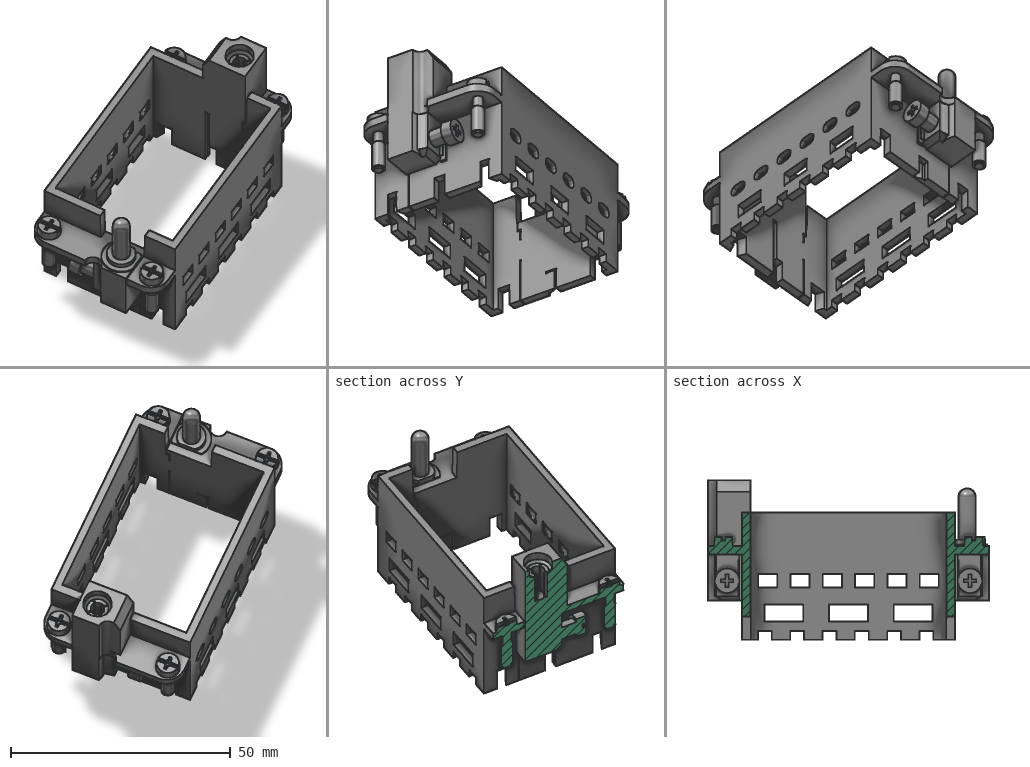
import cadquery as cq

FRAME_X = 34.4
FRAME_Y = 48.6
WALL_TOP = 29.0
SIDE_WALL = 1.8
END_WALL = 2.0
END_OUTER = FRAME_Y / 2
END_INNER = END_OUTER - END_WALL

OVERALL_Y = 64.0
EDGE_Y = OVERALL_Y / 2
FLANGE_TOP = 21.4
FLANGE_THICK = 2.0
FLANGE_BOTTOM = FLANGE_TOP - FLANGE_THICK
CORNER_RADIUS = 4.5
EDGE_NOTCH_RADIUS = 2.0

PITCH = 7.36
OVAL_COUNT = 6
OVAL_LENGTH = 4.3
OVAL_HEIGHT = 3.0
OVAL_Z = 13.45
OVAL_RECESS_DEPTH = 0.4
WINDOW_COUNT = 3
WINDOW_LENGTH = 7.2
FAR_WINDOW_LENGTH = 8.8
WINDOW_Z_LOW = 4.2
WINDOW_Z_HIGH = 8.0
FOOT_NOTCH_WIDTH = 3.1
FOOT_NOTCH_HEIGHT = 2.0
FOOT_NOTCH_SHIFT = 0.65

END_NOTCH_HEIGHT = 5.3
CORNER_NOTCH_X = 12.55
FRONT_NOTCH_WIDTH = 3.1
REAR_NOTCH_OUTER = 2.3
REAR_NOTCH_INNER = 4.1
MIDDLE_NOTCH_LEFT = -1.7
MIDDLE_NOTCH_RIGHT = 1.15
POCKET_LEFT = -1.8
POCKET_RIGHT = -0.7
POCKET_TOP = 17.0
POCKET_DEPTH = 1.0
TONGUE_LEFT = -1.2
TONGUE_KNEE = 0.35
TONGUE_HEIGHT = 4.95
TONGUE_TIP_THICK = 0.3
TONGUE_THICK = 1.0

BLOCK_LEFT = -2.35
BLOCK_RIGHT = 8.7
BLOCK_BOTTOM = 8.9
MAIN_LEFT = 2.1
SHOULDER_X = 1.65
TERMINAL_X = -0.9
STRIP_RIGHT = -0.17
STRIP_Y = 30.1
SHOULDER_Y = 30.5
LIP_TOP = 9.9
LIP_INSET = 1.6
BACK_PLATE_Y = 24.9
PAD_LEFT = -1.75
PAD_Y = 25.1
PAD_Z_LOW = 10.25
PAD_Z_HIGH = 18.1

OPENING_LEFT = -2.3
OPENING_RIGHT = 9.05
OPENING_DRAFT = 0.2
FLANGE_SLIT_WIDTH = 0.2
FLANGE_SLIT_BOTTOM = 19.05
WALL_SLIT_X = 7.9
WALL_SLIT_WIDTH = 0.25
WALL_SLIT_TOP = 11.0
JOG_BOTTOM = 16.6
JOG_THICK = 0.3

GUIDE_X = 4.6
GUIDE_Y = 27.0
PIN_RADIUS = 2.0
PIN_TOP = 34.5
COLLAR_RADIUS = 3.3
COLLAR_TOP = 22.8
RING_RADIUS = 4.55
RING_TOP = 21.75
POST_TOP = 36.4
POST_LEFT_Y = 30.0
POST_CHAMFER_X = 1.6
POST_CHAMFER_Z = 2.65
SOCKET_RADIUS = 3.25
SOCKET_DEPTH = 2.0
SLEEVE_RADIUS = 2.5
SLEEVE_CHAMFER = 0.5
BORE_RADIUS = 1.55
BORE_DEPTH = 8.0
SLEEVE_SLOT_WIDTH = 0.3
SLEEVE_SLOT_COUNT = 4

SCREW_X = 13.5
SCREW_Y = 28.5
HEAD_BOTTOM_RADIUS = 2.75
HEAD_TOP_RADIUS = 2.55
HEAD_HEIGHT = 2.05
NECK_RADIUS = 1.2
NECK_BOTTOM = 16.8
THREAD_RADIUS = 1.55
THREAD_TOP = 16.5
THREAD_BOTTOM = 10.0
TIP_RADIUS = 1.05
TIP_BOTTOM = 9.5
SLOT_WIDTH = 0.8
SLOT_DEPTH = 0.8
CROSS_WIDTH = 0.6
CROSS_LENGTH = 3.2
CROSS_CENTRE = 1.1
CROSS_CENTRE_DEPTH = 1.2

TERMINAL_Y = 27.65
TERMINAL_Z = 13.45
TERMINAL_HEAD_RADIUS = 2.8
TERMINAL_HEAD_LEFT = -7.3
TERMINAL_HEAD_RIGHT = -4.6
TERMINAL_SHANK_RADIUS = 2.0
TERMINAL_EMBED = 1.0
TERMINAL_CROSS_LENGTH = 2.9
TERMINAL_CROSS_WIDTH = 0.75
TERMINAL_CROSS_DEPTH = 1.0


def box(x0, x1, y0, y1, z0, z1):
    """Box given by its limits along each axis."""
    return cq.Workplane("XY").box(x1 - x0, y1 - y0, z1 - z0, centered=False).translate((x0, y0, z0))


def prism(points, z0, z1):
    """Upright prism on a closed XY outline."""
    return cq.Workplane("XY").workplane(offset=z0).polyline(points).close().extrude(z1 - z0)


def cylinder(x, y, radius, z0, z1):
    """Upright cylinder."""
    return cq.Workplane("XY").workplane(offset=z0).center(x, y).circle(radius).extrude(z1 - z0)


def at_front(shape):
    """Carry a shape modelled at the +Y end over to the -Y end."""
    return shape.mirror("XZ")


def both_ends(shape):
    """A +Y end shape together with its mirror image at the -Y end."""
    return shape.union(at_front(shape))


def centred(count, pitch):
    """Evenly spaced positions centred on zero."""
    return [(i - (count - 1) / 2) * pitch for i in range(count)]


def make_frame():
    """Open rectangular frame of four upright walls."""
    outer = cq.Workplane("XY").rect(FRAME_X, FRAME_Y).extrude(WALL_TOP)
    inside = cq.Workplane("XY").rect(FRAME_X - 2 * SIDE_WALL, 2 * END_INNER).extrude(WALL_TOP)
    return outer.cut(inside)


def side_wall_openings():
    """Openings of both side walls.

    The -X wall has oval holes with shallow rectangular inner recesses, and windows.
    The +X wall has rectangular holes and longer windows. Foot notches cross both.
    """
    half_x = FRAME_X / 2
    hole_points = [(y, OVAL_Z) for y in centred(OVAL_COUNT, PITCH)]
    window_z = (WINDOW_Z_LOW + WINDOW_Z_HIGH) / 2
    window_points = [(y, window_z) for y in centred(WINDOW_COUNT, 2 * PITCH)]
    window_height = WINDOW_Z_HIGH - WINDOW_Z_LOW
    near_wall = cq.Workplane("YZ").workplane(offset=-half_x)
    far_wall = cq.Workplane("YZ").workplane(offset=half_x - SIDE_WALL)

    cuts = near_wall.pushPoints(hole_points).slot2D(OVAL_LENGTH, OVAL_HEIGHT).extrude(SIDE_WALL)
    recess_plane = near_wall.workplane(offset=SIDE_WALL - OVAL_RECESS_DEPTH)
    recesses = recess_plane.pushPoints(hole_points).rect(OVAL_LENGTH, OVAL_HEIGHT)
    cuts = cuts.union(recesses.extrude(OVAL_RECESS_DEPTH))
    near_windows = near_wall.pushPoints(window_points).rect(WINDOW_LENGTH, window_height)
    cuts = cuts.union(near_windows.extrude(SIDE_WALL))
    far_holes = far_wall.pushPoints(hole_points).rect(OVAL_LENGTH, OVAL_HEIGHT)
    cuts = cuts.union(far_holes.extrude(SIDE_WALL))
    far_windows = far_wall.pushPoints(window_points).rect(FAR_WINDOW_LENGTH, window_height)
    cuts = cuts.union(far_windows.extrude(SIDE_WALL))
    for y, _ in hole_points:
        low = y + FOOT_NOTCH_SHIFT - FOOT_NOTCH_WIDTH / 2
        cuts = cuts.union(box(-half_x, half_x, low, low + FOOT_NOTCH_WIDTH, 0, FOOT_NOTCH_HEIGHT))
    return cuts


def end_wall_notches(outer_width, inner_width):
    """Middle notch and two corner notches of the +Y end wall, widths given at its two faces."""
    cuts = box(MIDDLE_NOTCH_LEFT, MIDDLE_NOTCH_RIGHT, END_INNER, END_OUTER, 0, END_NOTCH_HEIGHT)
    for x in (-CORNER_NOTCH_X, CORNER_NOTCH_X):
        outline = [
            (x - inner_width / 2, END_INNER),
            (x + inner_width / 2, END_INNER),
            (x + outer_width / 2, END_OUTER),
            (x - outer_width / 2, END_OUTER),
        ]
        cuts = cuts.union(prism(outline, 0, END_NOTCH_HEIGHT))
    return cuts


def inner_pocket():
    """Shallow upright pocket in the inner face of the +Y end wall."""
    return box(POCKET_LEFT, POCKET_RIGHT, END_INNER, END_INNER + POCKET_DEPTH, 0, POCKET_TOP)


def notch_tongue():
    """Wedge-nosed tongue standing in the middle notch of the -Y end wall."""
    outline = [
        (TONGUE_LEFT, END_INNER),
        (TONGUE_LEFT, END_INNER + TONGUE_TIP_THICK),
        (TONGUE_KNEE, END_INNER + TONGUE_THICK),
        (MIDDLE_NOTCH_RIGHT, END_INNER + TONGUE_THICK),
        (MIDDLE_NOTCH_RIGHT, END_INNER),
    ]
    return at_front(prism(outline, 0, TONGUE_HEIGHT))


def end_wall_opening(left, left_draft):
    """Opening in the +Y end wall above the flange, its sides leaning outwards."""
    outline = [
        (left, FLANGE_TOP),
        (OPENING_RIGHT, FLANGE_TOP),
        (OPENING_RIGHT + OPENING_DRAFT, WALL_TOP),
        (left - left_draft, WALL_TOP),
    ]
    return cq.Workplane("XZ").workplane(offset=-END_OUTER).polyline(outline).close().extrude(END_WALL)


def make_flange():
    """Flange at the +Y end with rounded outer corners and a round edge notch."""
    half_x = FRAME_X / 2
    plate = box(-half_x, half_x, END_OUTER, EDGE_Y, FLANGE_BOTTOM, FLANGE_TOP)
    plate = plate.edges("|Z and >Y").fillet(CORNER_RADIUS)
    return plate.cut(cylinder(0, EDGE_Y, EDGE_NOTCH_RADIUS, FLANGE_BOTTOM, FLANGE_TOP))


def make_block():
    """Contact block below the +Y flange: main body, stepped shoulder, undercut lip and back plate."""
    outer_edge = [
        (SHOULDER_X, SHOULDER_Y),
        (MAIN_LEFT, EDGE_Y),
        (BLOCK_RIGHT, EDGE_Y),
        (BLOCK_RIGHT, END_OUTER),
    ]
    terminal_edge = [(TERMINAL_X, END_OUTER), (TERMINAL_X, STRIP_Y), (STRIP_RIGHT, STRIP_Y)]
    body = prism(terminal_edge + outer_edge, LIP_TOP, FLANGE_BOTTOM)
    main = prism([(SHOULDER_X, END_OUTER)] + outer_edge, BLOCK_BOTTOM, LIP_TOP)
    lip_x = SHOULDER_X - TERMINAL_X
    lip_y = STRIP_Y - END_OUTER
    lip = (
        cq.Workplane("XY").workplane(offset=LIP_TOP)
        .center(SHOULDER_X - lip_x / 2, END_OUTER + lip_y / 2).rect(lip_x, lip_y)
        .workplane(offset=BLOCK_BOTTOM - LIP_TOP)
        .center(LIP_INSET / 2, -LIP_INSET / 2).rect(lip_x - LIP_INSET, lip_y - LIP_INSET)
        .loft(ruled=True)
    )
    back_plate = box(BLOCK_LEFT, TERMINAL_X, END_OUTER, BACK_PLATE_Y, BLOCK_BOTTOM, FLANGE_BOTTOM)
    pad = box(PAD_LEFT, TERMINAL_X, BACK_PLATE_Y, PAD_Y, PAD_Z_LOW, PAD_Z_HIGH)
    return body.union(main).union(lip).union(back_plate).union(pad)


def terminal_screw():
    """Cross-recessed screw entering the +Y contact block along X."""

    def rod_along_x(radius, x0, x1):
        """Round rod on the screw axis between two X positions."""
        return (
            cq.Workplane("YZ").workplane(offset=x0)
            .center(TERMINAL_Y, TERMINAL_Z).circle(radius).extrude(x1 - x0)
        )

    head = rod_along_x(TERMINAL_HEAD_RADIUS, TERMINAL_HEAD_LEFT, TERMINAL_HEAD_RIGHT)
    shank = rod_along_x(TERMINAL_SHANK_RADIUS, TERMINAL_HEAD_RIGHT, TERMINAL_X + TERMINAL_EMBED)
    face = cq.Workplane("YZ").workplane(offset=TERMINAL_HEAD_LEFT).center(TERMINAL_Y, TERMINAL_Z)
    arm_along_y = face.rect(TERMINAL_CROSS_LENGTH, TERMINAL_CROSS_WIDTH).extrude(TERMINAL_CROSS_DEPTH)
    arm_along_z = face.rect(TERMINAL_CROSS_WIDTH, TERMINAL_CROSS_LENGTH).extrude(TERMINAL_CROSS_DEPTH)
    return head.union(shank).cut(arm_along_y).cut(arm_along_z)


def corner_screw():
    """Slotted and cross-recessed screw on the Z axis, at its mounted height."""
    head_top = FLANGE_TOP + HEAD_HEIGHT
    profile = [
        (0, TIP_BOTTOM),
        (TIP_RADIUS, TIP_BOTTOM),
        (TIP_RADIUS, THREAD_BOTTOM),
        (THREAD_RADIUS, THREAD_BOTTOM),
        (THREAD_RADIUS, THREAD_TOP),
        (NECK_RADIUS, NECK_BOTTOM),
        (NECK_RADIUS, FLANGE_TOP),
        (HEAD_BOTTOM_RADIUS, FLANGE_TOP),
        (HEAD_TOP_RADIUS, head_top),
        (0, head_top),
    ]
    screw = cq.Workplane("XZ").polyline(profile).close().revolve(360, (0, 0), (0, 1))
    top = cq.Workplane("XY").workplane(offset=head_top)
    slot = top.rect(2 * HEAD_BOTTOM_RADIUS, SLOT_WIDTH).extrude(-SLOT_DEPTH)
    cross = top.rect(CROSS_WIDTH, CROSS_LENGTH).extrude(-SLOT_DEPTH)
    centre = top.rect(CROSS_CENTRE, CROSS_CENTRE).extrude(-CROSS_CENTRE_DEPTH)
    return screw.cut(slot).cut(cross).cut(centre)


def guide_pin():
    """Round-nosed pin on a stepped collar, trimmed flush with the end wall and the block."""
    ring = cylinder(GUIDE_X, GUIDE_Y, RING_RADIUS, FLANGE_TOP, RING_TOP)
    collar = cylinder(GUIDE_X, GUIDE_Y, COLLAR_RADIUS, FLANGE_TOP, COLLAR_TOP)
    limits = box(-FRAME_X / 2, BLOCK_RIGHT, END_OUTER, EDGE_Y, FLANGE_TOP, COLLAR_TOP)
    base = ring.union(collar).intersect(limits)
    shoulder_z = PIN_TOP - PIN_RADIUS
    pin = cylinder(GUIDE_X, GUIDE_Y, PIN_RADIUS, FLANGE_TOP, shoulder_z)
    nose = cq.Workplane("XY").sphere(PIN_RADIUS).translate((GUIDE_X, GUIDE_Y, shoulder_z))
    return at_front(base.union(pin).union(nose))


def socket_bore():
    """Counterbored, cone-bottomed bore with slots that split its sleeve."""
    seat_z = POST_TOP - SOCKET_DEPTH
    bore_z = seat_z - BORE_DEPTH
    profile = [
        (0, bore_z - BORE_RADIUS),
        (BORE_RADIUS, bore_z),
        (BORE_RADIUS, seat_z - SLEEVE_CHAMFER),
        (SLEEVE_RADIUS, seat_z - SLEEVE_CHAMFER),
        (SOCKET_RADIUS, seat_z),
        (SOCKET_RADIUS, POST_TOP),
        (0, POST_TOP),
    ]
    bore = cq.Workplane("XZ").polyline(profile).close().revolve(360, (0, 0), (0, 1))
    slot = (
        cq.Workplane("XY").workplane(offset=bore_z)
        .rect(2 * SLEEVE_RADIUS, SLEEVE_SLOT_WIDTH).extrude(BORE_DEPTH)
    )
    for i in range(SLEEVE_SLOT_COUNT // 2):
        angle = 360 / SLEEVE_SLOT_COUNT * (i + 0.5)
        bore = bore.union(slot.rotate((0, 0, 0), (0, 0, 1), angle))
    return bore.translate((GUIDE_X, GUIDE_Y, 0))


def socket_post():
    """Guide post at the +Y end, chamfered on top and grooved along its outer edge."""
    post = prism(
        [
            (BLOCK_LEFT, END_INNER),
            (BLOCK_RIGHT, END_INNER),
            (BLOCK_RIGHT, EDGE_Y),
            (0, EDGE_Y),
            (0, POST_LEFT_Y),
            (BLOCK_LEFT, POST_LEFT_Y),
        ],
        FLANGE_TOP,
        POST_TOP,
    )
    corner = [
        (BLOCK_LEFT, POST_TOP),
        (BLOCK_LEFT + POST_CHAMFER_X, POST_TOP),
        (BLOCK_LEFT, POST_TOP - POST_CHAMFER_Z),
    ]
    chamfer = cq.Workplane("XZ").workplane(offset=-EDGE_Y).polyline(corner).close().extrude(EDGE_Y)
    groove = cylinder(0, EDGE_Y, EDGE_NOTCH_RADIUS, FLANGE_TOP, POST_TOP)
    return post.cut(chamfer).cut(groove).cut(socket_bore())


def parting_slits():
    """Slit through the +Y flange that jogs sideways in the end wall, and one rising from its foot."""
    slit_right = BLOCK_RIGHT + FLANGE_SLIT_WIDTH
    wall_right = WALL_SLIT_X + WALL_SLIT_WIDTH
    flange_slit = box(BLOCK_RIGHT, slit_right, END_INNER, EDGE_Y, FLANGE_SLIT_BOTTOM, FLANGE_TOP)
    jog_top = FLANGE_SLIT_BOTTOM + JOG_THICK
    jog = box(WALL_SLIT_X, slit_right, END_INNER, END_OUTER, FLANGE_SLIT_BOTTOM, jog_top)
    jog_tail = box(WALL_SLIT_X, wall_right, END_INNER, END_OUTER, JOG_BOTTOM, jog_top)
    foot_slit = box(WALL_SLIT_X, wall_right, END_INNER, END_OUTER, 0, WALL_SLIT_TOP)
    return flange_slit.union(jog).union(jog_tail).union(foot_slit)


frame = make_frame().cut(side_wall_openings())
frame = frame.cut(end_wall_notches(REAR_NOTCH_OUTER, REAR_NOTCH_INNER)).cut(inner_pocket())
frame = frame.cut(at_front(end_wall_notches(FRONT_NOTCH_WIDTH, FRONT_NOTCH_WIDTH)))
frame = frame.cut(end_wall_opening(GUIDE_X, 0))
frame = frame.cut(at_front(end_wall_opening(OPENING_LEFT, OPENING_DRAFT)))
frame = frame.union(both_ends(make_flange())).union(both_ends(make_block()))
frame = frame.cut(both_ends(parting_slits()))
frame = frame.union(notch_tongue()).union(socket_post()).union(guide_pin())
frame = frame.union(both_ends(terminal_screw()))

for x in (-SCREW_X, SCREW_X):
    for y in (-SCREW_Y, SCREW_Y):
        frame = frame.union(corner_screw().translate((x, y, 0)))

result = frame